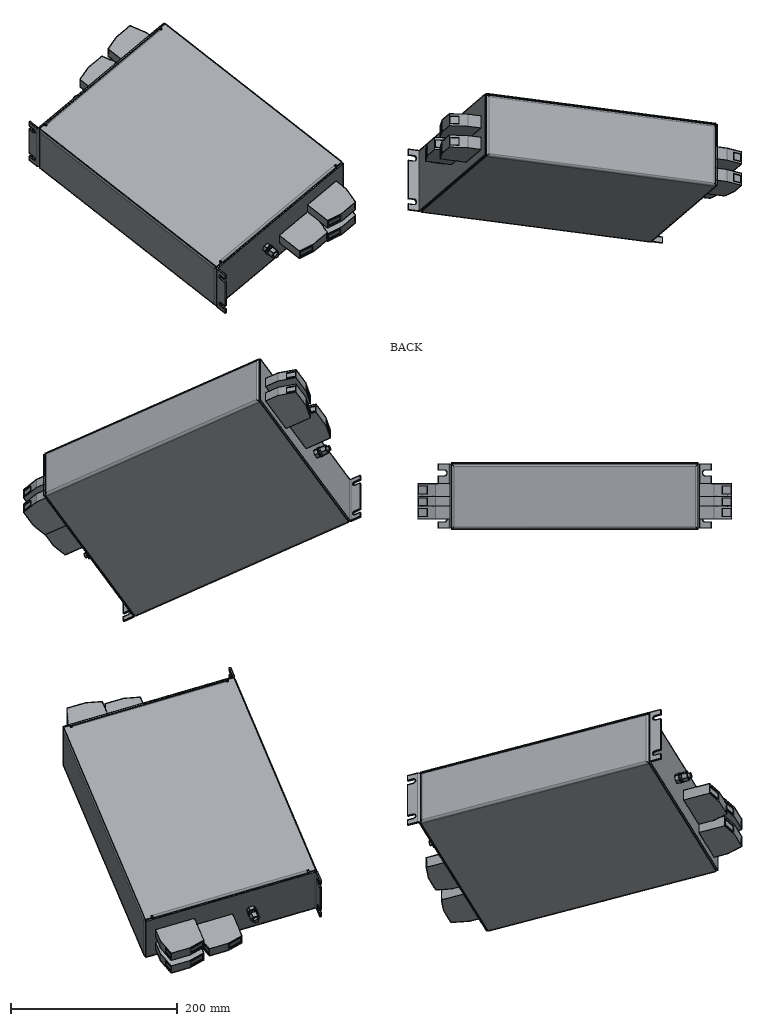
import cadquery as cq
import math

height = 80.0
body_length_x = 296.0
body_length_y = 220.0
bend_radius = 3.0
lid_thickness = 1.5
lid_length_y = 217.0

relief_spacing = 198.8
relief_width = 2.0

plate_thickness = 2.0
plate_height = 77.0
flange_span = 328.0
slot_width = 7.0
slot_spacing = 55.4
slot_center_inset = 7.0

block_length = 49.5
block_height = 15.4
block_span = 377.0
block_top_reach = 17.0
block_bottom_reach = 33.5
upper_slope_drop = 6.2
lower_slope_rise = 19.5
block_positions = [(96.2, 7.3), (96.2, -20.0), (47.6, -7.0)]

window_height = 9.4
window_depth = 1.0
lower_window_length = 16.8
lower_window_offset = 2.0
upper_window_length = 11.0
upper_window_offset = 0.8

stud_y = -25.3
stud_diameter = 6.0
stud_reach = 19.0
nut_across_flats = 10.0
washer_diameter = 12.0
inner_nut_reach = 5.0
washer_reach = 6.8
lock_washer_diameter = 11.2
lock_washer_reach = 8.6
outer_nut_reach = 15.5

top_z = height / 2
bottom_z = -top_z
body_top_z = top_z - lid_thickness
body_height = height - lid_thickness
front_y = -body_length_y / 2
body_side_x = body_length_x / 2
plate_outer_x = body_side_x + plate_thickness
block_reach = block_span / 2 - plate_outer_x


def make_body():
    """Box rounded at its corners and along its front and back edges."""
    middle_z = (body_top_z + bottom_z) / 2
    upright = (
        cq.Workplane("XY")
        .box(body_length_x, body_length_y, body_height)
        .edges("|Z")
        .fillet(bend_radius)
    )
    lengthwise = (
        cq.Workplane("XY")
        .box(body_length_x, body_length_y, body_height)
        .edges("|X")
        .fillet(bend_radius)
    )
    return upright.intersect(lengthwise).translate((0, 0, middle_z))


def make_lid():
    """Flat lid that covers the top of the body."""
    return (
        cq.Workplane("XY", origin=(0, 0, body_top_z))
        .rect(body_length_x, lid_length_y)
        .extrude(lid_thickness)
    )


def make_lid_bends():
    """Cutter that rounds both top side edges between the relief slots."""
    bend_x = body_side_x - bend_radius
    bend = (
        cq.Workplane("XZ", origin=(0, relief_spacing / 2, 0))
        .moveTo(bend_x, top_z)
        .radiusArc((body_side_x, top_z - bend_radius), bend_radius)
        .lineTo(body_side_x, top_z)
        .close()
        .extrude(relief_spacing)
    )
    return bend.union(bend.mirror("YZ"))


def make_relief_slots():
    """Cutters for the four notches at the ends of the lid bends."""
    return (
        cq.Workplane("XY", origin=(0, 0, body_top_z))
        .rect(body_length_x - bend_radius, relief_spacing, forConstruction=True)
        .vertices()
        .rect(bend_radius, relief_width)
        .extrude(lid_thickness)
    )


def make_side_plate():
    """L-shaped plate on the +X side with its slotted flange."""
    inner_bend = bend_radius - plate_thickness
    flange_x = flange_span / 2
    flange_back_y = front_y + plate_thickness
    plate = (
        cq.Workplane("XY", origin=(0, 0, -plate_height / 2))
        .moveTo(body_side_x, lid_length_y / 2)
        .lineTo(body_side_x, front_y + bend_radius)
        .radiusArc((body_side_x + bend_radius, front_y), -bend_radius)
        .lineTo(flange_x, front_y)
        .lineTo(flange_x, flange_back_y)
        .lineTo(plate_outer_x + inner_bend, flange_back_y)
        .radiusArc((plate_outer_x, flange_back_y + inner_bend), inner_bend)
        .lineTo(plate_outer_x, lid_length_y / 2)
        .close()
        .extrude(plate_height)
    )
    slots = (
        cq.Workplane("XZ", origin=(flange_x, front_y + plate_thickness, 0))
        .pushPoints([(0, -slot_spacing / 2), (0, slot_spacing / 2)])
        .slot2D(2 * slot_center_inset + slot_width, slot_width)
        .extrude(plate_thickness)
    )
    return plate.cut(slots)


def make_window(edge_point, other_point, offset, length):
    """Cutter for a window in a sloped face, offset from one edge of that face."""
    run_x = other_point[0] - edge_point[0]
    run_y = other_point[1] - edge_point[1]
    face_length = math.hypot(run_x, run_y)
    along = (offset + length / 2) / face_length
    center = (edge_point[0] + run_x * along, edge_point[1] + run_y * along, 0)
    angle = math.degrees(math.atan2(run_y, run_x))
    return (
        cq.Workplane("XY")
        .box(length, 2 * window_depth, window_height)
        .rotate((0, 0, 0), (0, 0, 1), angle)
        .translate(center)
    )


def make_terminal_block():
    """Block with its back on X = 0, its upper end at Y = 0, centred on Z = 0."""
    top_corner = (block_top_reach, 0)
    upper_corner = (block_reach, -upper_slope_drop)
    lower_corner = (block_reach, lower_slope_rise - block_length)
    bottom_corner = (block_bottom_reach, -block_length)
    outline = [(0, 0), top_corner, upper_corner, lower_corner, bottom_corner, (0, -block_length)]
    block = (
        cq.Workplane("XY", origin=(0, 0, -block_height / 2))
        .polyline(outline)
        .close()
        .extrude(block_height)
    )
    lower_window = make_window(lower_corner, bottom_corner, lower_window_offset, lower_window_length)
    upper_window = make_window(upper_corner, top_corner, upper_window_offset, upper_window_length)
    return block.cut(lower_window).cut(upper_window)


def make_disc(diameter, start_x, end_x):
    """Cylinder along the X axis between two X positions."""
    return (
        cq.Workplane("YZ", origin=(start_x, 0, 0))
        .circle(diameter / 2)
        .extrude(end_x - start_x)
    )


def make_stud():
    """Threaded stud with an inner nut, washer, lock washer and an outer nut, along +X from X = 0."""
    hex_diameter = nut_across_flats / math.cos(math.pi / 6)
    inner_nut = cq.Workplane("YZ").polygon(6, hex_diameter).extrude(inner_nut_reach)
    outer_nut = (
        cq.Workplane("YZ", origin=(lock_washer_reach, 0, 0))
        .polygon(6, hex_diameter)
        .extrude(outer_nut_reach - lock_washer_reach)
    )
    washer = make_disc(washer_diameter, inner_nut_reach, washer_reach)
    lock_washer = make_disc(lock_washer_diameter, washer_reach, lock_washer_reach)
    stud = make_disc(stud_diameter, 0, stud_reach)
    return stud.union(inner_nut).union(washer).union(lock_washer).union(outer_nut)


def make_side():
    """Everything mounted on the +X side of the enclosure."""
    side = make_side_plate()
    block = make_terminal_block()
    for block_y, block_z in block_positions:
        side = side.union(block.translate((plate_outer_x, block_y, block_z)))
    return side.union(make_stud().translate((plate_outer_x, stud_y, 0)))


enclosure = make_body().union(make_lid()).cut(make_lid_bends()).cut(make_relief_slots())
side_assembly = make_side()
result = enclosure.union(side_assembly).union(side_assembly.mirror("YZ"))